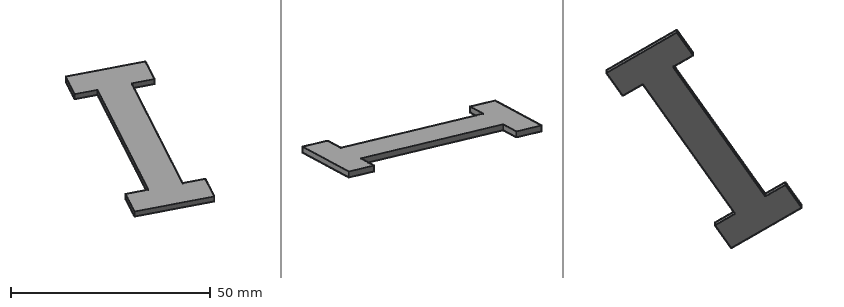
import cadquery as cq

length = 58.15
width = 21.0
thickness = 1.6
end_length = 7.6
web_width = 9.0


def end_plate(side):
    """Wide end of the plate; side is -1 for the -X end, +1 for the +X end."""
    centre_x = side * (length - end_length) / 2
    return cq.Workplane("XY").box(end_length, width, thickness).translate((centre_x, 0, 0))


result = cq.Workplane("XY").box(length, web_width, thickness)
for side in (-1, 1):
    result = result.union(end_plate(side))